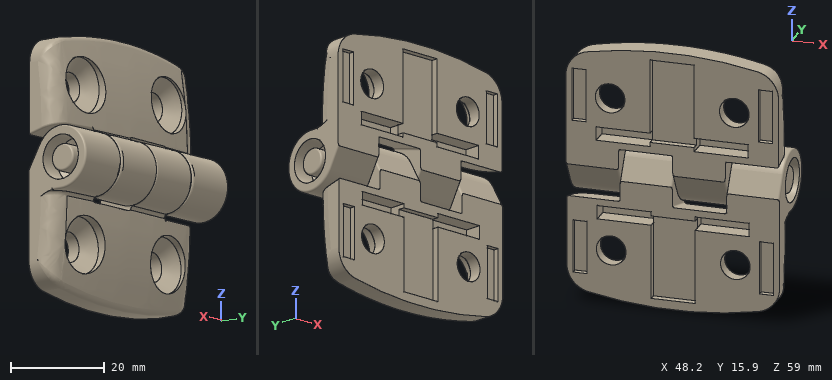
import cadquery as cq
import math

total_width = 48.2
total_height = 59.0
barrel_radius = 7.0
pin_y = 8.85

leaf_shift = -0.1
leaf_half_width = total_width / 2 + leaf_shift
leaf_left = leaf_shift - leaf_half_width
leaf_top = total_height / 2
leaf_bottom = 5.95
leaf_depth = 8.45
end_arc_radius = 96.15
corner_radius = 6.0
crown_radius_x = 236.0
crown_radius_z = 106.2
crown_base_z = 7.1
crown_sweep_angle = 60.0
shoulder_radius = 4.15
end_fillet = 1.4

knuckle_gap = 0.3
knuckle_width = 11.85
inner_limit = -knuckle_width - knuckle_gap
knuckle_spans = [(leaf_left, inner_limit), (0, knuckle_width)]
notch_spans = [(inner_limit, 0), (knuckle_width, total_width)]
knuckle_fillet = 0.5
knuckle_toe_z = 1.3
notch_slope = 0.25
notch_fillet = 0.5
root_fillet = 0.95
root_sink = 0.05

pin_radius = 3.0
pin_fillet = 0.5
pin_recess = 0.6
counterbore_radius = 4.9
counterbore_depth = 5.0
counterbore_cone = 1.2

screw_x = 14.0
screw_z = 17.45
screw_radius = 3.3
head_radius = 6.25
head_seat_y = 3.0

center_pocket_width = 9.9
center_pocket_z = (8.45, 27.4)
center_pocket_depth = 1.6
cross_slot_half_length = 17.1
cross_slot_z = (7.5, 10.55)
cross_slot_depth = 4.0
side_slot_x = 21.0
side_slot_width = 3.1
side_slot_z = (11.45, 23.4)
side_slot_depth = 1.25


def box(x_range, y_range, z_range):
    """Axis-aligned block between the given limits."""
    size = [end - start for start, end in (x_range, y_range, z_range)]
    start = (x_range[0], y_range[0], z_range[0])
    return cq.Workplane("XY").box(*size, centered=False).translate(start)


def crowned_block():
    """Wide block, crowned along X and Z, with rounded long shoulders."""
    sag = crown_radius_x - math.sqrt(crown_radius_x**2 - leaf_half_width**2)
    hidden_base = -leaf_depth
    axis_y = leaf_depth - crown_radius_z
    block = (
        cq.Workplane("XY", origin=(leaf_shift, 0, crown_base_z))
        .moveTo(-leaf_half_width, hidden_base)
        .lineTo(leaf_half_width, hidden_base)
        .lineTo(leaf_half_width, leaf_depth - sag)
        .threePointArc((0, leaf_depth), (-leaf_half_width, leaf_depth - sag))
        .close()
        .revolve(crown_sweep_angle, (0, axis_y, 0), (1, axis_y, 0))
        .rotate((0, axis_y, crown_base_z), (1, axis_y, crown_base_z), -crown_sweep_angle / 2)
    )
    for side in ("<X", ">X"):
        block = block.faces(side).edges(">Y").fillet(shoulder_radius)
    return block


def leaf_outline():
    """Flat plate with an arched end and rounded corners."""
    corner_zone = cq.selectors.BoxSelector(
        (-total_width, -total_height, crown_base_z),
        (total_width, total_height, total_height),
    )
    drop = end_arc_radius - math.sqrt(end_arc_radius**2 - leaf_half_width**2)
    return (
        cq.Workplane("XZ", origin=(leaf_shift, 0, 0))
        .moveTo(-leaf_half_width, leaf_bottom)
        .lineTo(-leaf_half_width, leaf_top - drop)
        .threePointArc((0, leaf_top), (leaf_half_width, leaf_top - drop))
        .lineTo(leaf_half_width, leaf_bottom)
        .close()
        .extrude(-2 * leaf_depth)
        .edges(corner_zone)
        .edges("|Y")
        .fillet(corner_radius)
    )


def plate():
    """Crowned leaf plate with its arched rim rounded over, before any knuckles."""
    body = crowned_block().intersect(leaf_outline())
    rim = cq.selectors.NearestToPointSelector((leaf_shift, leaf_depth, leaf_top))
    return body.edges(rim).fillet(end_fillet)


def knuckle(x_start, x_end):
    """Barrel segment, flat on top, with a straight underside down to its toe."""
    toe_angle = math.atan2(knuckle_toe_z, -pin_y)
    toe_distance = math.hypot(knuckle_toe_z, pin_y)
    tangent_angle = toe_angle + math.acos(barrel_radius / toe_distance)
    tangent_y = pin_y + barrel_radius * math.cos(tangent_angle)
    tangent_z = barrel_radius * math.sin(tangent_angle)
    body = (
        cq.Workplane("YZ", origin=(x_start, 0, 0))
        .moveTo(0, barrel_radius)
        .lineTo(0, knuckle_toe_z)
        .lineTo(tangent_y, tangent_z)
        .threePointArc((pin_y + barrel_radius, 0), (pin_y, barrel_radius))
        .close()
        .extrude(x_end - x_start)
    )
    return body.faces("<X or >X").edges("not <Y").fillet(knuckle_fillet)


def notch(x_start, x_end):
    """Clearance for the other leaf's knuckle, ending in a sloped wall."""
    reach = leaf_depth + barrel_radius
    return (
        cq.Workplane("YZ", origin=(x_start, 0, 0))
        .moveTo(0, 0)
        .lineTo(0, leaf_bottom)
        .lineTo(reach, leaf_bottom + notch_slope * reach)
        .lineTo(reach, 0)
        .close()
        .extrude(x_end - x_start)
    )


def root_strip(body):
    """Concave fillet around the foot of the crowned plate, sunk slightly into the knuckles."""
    foot = body.faces("<Z").edges("not <Y").vals()
    foot_z = barrel_radius - root_sink
    path = cq.Wire.assembleEdges(foot).translate(cq.Vector(0, 0, foot_z - leaf_bottom))
    reach = root_fillet + root_sink
    bulge = root_fillet - root_fillet / math.sqrt(2)
    return (
        cq.Workplane("XZ", origin=(leaf_left, 0, foot_z))
        .moveTo(root_sink, reach)
        .lineTo(root_sink, -reach)
        .lineTo(-root_fillet, -reach)
        .lineTo(-root_fillet, 0)
        .threePointArc((-bulge, bulge), (0, root_fillet))
        .close()
        .sweep(cq.Workplane(path), transition="round")
    )


def pin_bore():
    """Bore along the whole hinge, opening through a cone into a counterbore at the outer knuckle."""
    half_length = total_width / 2
    counterbore_end = counterbore_depth - half_length
    return (
        cq.Workplane("XY", origin=(0, pin_y, 0))
        .moveTo(-half_length, 0)
        .lineTo(-half_length, counterbore_radius)
        .lineTo(counterbore_end, counterbore_radius)
        .lineTo(counterbore_end + counterbore_cone, pin_radius)
        .lineTo(half_length, pin_radius)
        .lineTo(half_length, 0)
        .close()
        .revolve(360, (0, 0, 0), (1, 0, 0))
    )


def screw_hole(x):
    """Through hole flaring at 45 degrees into a wide recess for the screw head."""
    head_y = head_seat_y + head_radius - screw_radius
    outside_y = 2 * leaf_depth
    return (
        cq.Workplane("XY", origin=(x, 0, screw_z))
        .moveTo(0, 0)
        .lineTo(screw_radius, 0)
        .lineTo(screw_radius, head_seat_y)
        .lineTo(head_radius, head_y)
        .lineTo(head_radius, outside_y)
        .lineTo(0, outside_y)
        .close()
        .revolve(360, (0, 0, 0), (0, 1, 0))
    )


def pockets():
    """Shallow recesses in the mounting face."""
    half_center = center_pocket_width / 2
    half_side = side_slot_width / 2
    cuts = box((-half_center, half_center), (0, center_pocket_depth), center_pocket_z)
    for side in (-1, 1):
        cross_span = sorted((side * half_center, side * cross_slot_half_length))
        cuts = cuts.union(box(cross_span, (0, cross_slot_depth), cross_slot_z))
        slot_span = (side * side_slot_x - half_side, side * side_slot_x + half_side)
        cuts = cuts.union(box(slot_span, (0, side_slot_depth), side_slot_z))
    return cuts.translate((leaf_shift, 0, 0))


def make_leaf():
    """Upper leaf with two knuckles."""
    body = plate()
    strip = root_strip(body)
    for span in notch_spans:
        body = body.cut(notch(*span))
    for span in knuckle_spans:
        body = body.union(knuckle(*span))
    notch_edges = cq.selectors.ParallelDirSelector(cq.Vector(0, 1, notch_slope))
    body = body.edges(notch_edges).fillet(notch_fillet)
    for span in knuckle_spans:
        above_knuckle = box(span, (0, leaf_depth + 2 * root_fillet), (0, leaf_top))
        body = body.union(strip.intersect(above_knuckle))
    for side in (-1, 1):
        body = body.cut(screw_hole(leaf_shift + side * screw_x))
    return body.cut(pockets()).cut(pin_bore())


def make_pin():
    """Hinge pin with rounded ends, standing just inside the knuckle faces."""
    start = -total_width / 2 + pin_recess
    return (
        cq.Workplane("YZ", origin=(start, pin_y, 0))
        .circle(pin_radius)
        .extrude(-2 * start)
        .edges()
        .fillet(pin_fillet)
    )


upper_leaf = make_leaf()
lower_leaf = upper_leaf.rotate((0, 0, 0), (0, 1, 0), 180)
pin = make_pin()

result = cq.Compound.makeCompound([upper_leaf.val(), lower_leaf.val(), pin.val()])